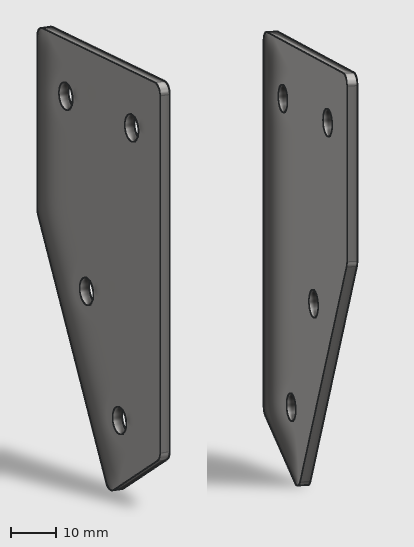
import cadquery as cq
import math

width = 56.0
height = 98.3
thickness = 2.5
corner_radius = 2.5
hole_diameter = 6.2
hole_spacing = 30.0
arm_angle = math.radians(60)
arm_hole_x = 37.4

edge_margin = (width - hole_spacing) / 2

along_x, along_z = math.cos(arm_angle), -math.sin(arm_angle)
across_x, across_z = -math.sin(arm_angle), -math.cos(arm_angle)

tip_center_offset = edge_margin - corner_radius
arm_hole_z = corner_radius - tip_center_offset * (along_z + across_z)

tip = (
    arm_hole_x + edge_margin * (along_x + across_x),
    arm_hole_z + edge_margin * (along_z + across_z),
)
left_corner_z = tip[1] + tip[0] * math.tan(arm_angle)
right_corner_z = tip[1] + (width - tip[0]) / math.tan(arm_angle)

outline = [
    (0, height),
    (width, height),
    (width, right_corner_z),
    tip,
    (0, left_corner_z),
]

hole_centers = [
    (edge_margin, height - edge_margin),
    (width - edge_margin, height - edge_margin),
    (arm_hole_x - hole_spacing * along_x, arm_hole_z - hole_spacing * along_z),
    (arm_hole_x, arm_hole_z),
]

plate = (
    cq.Workplane("XZ")
    .polyline(outline)
    .close()
    .extrude(thickness)
    .edges("|Y")
    .fillet(corner_radius)
)

holes = (
    cq.Workplane("XZ")
    .pushPoints(hole_centers)
    .circle(hole_diameter / 2)
    .extrude(thickness)
)

result = plate.cut(holes)